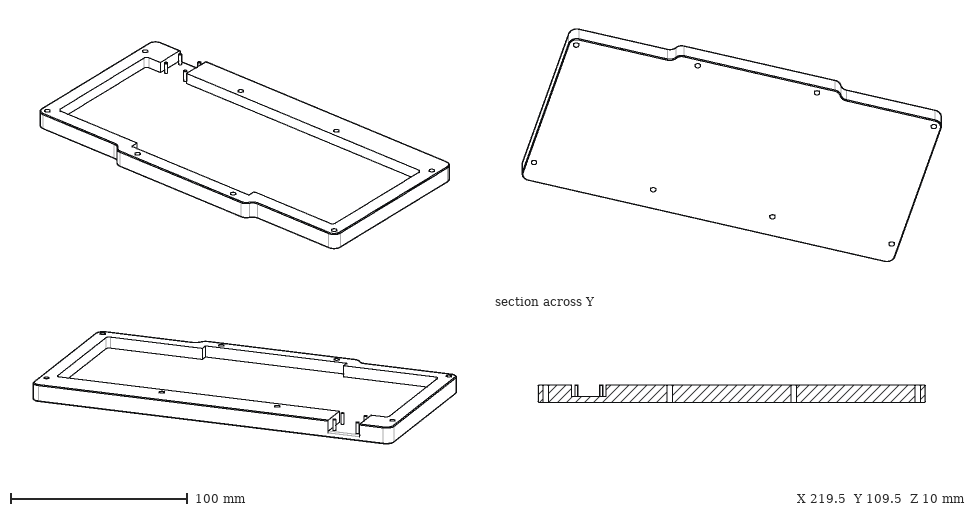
import cadquery as cq
import math

length = 219.5
width = 109.5
height = 10.0
corner_radius = 4.8
edge_chamfer = 0.5

tab_depth = 4.8
tab_half_width = 44.5
blend_angle = math.radians(61)
blend_radius = tab_depth / 2 / (1 - math.cos(blend_angle))
blend_half_run = blend_radius * math.sin(blend_angle)

floor_thickness = 3.5
wall = 8.8
back_wall = 17.8
pocket_corner_radius = 2.0
tab_pocket_half_width = 43.0

slot_center_x = -81.0
slot_width = 19.3
slot_lip_fillet = 0.9
pin_diameter = 1.8
pin_height = 6.4
pin_spacing_x = 14.0
pin_spacing_y = 12.5
pin_back_inset = 3.3

hole_diameter = 3.0
hole_inset = 4.5
back_hole_inset = 13.5
inner_hole_x = 35.1

back_y = width / 2
tab_y = -width / 2
front_y = tab_y + tab_depth
pocket_back_y = back_y - back_wall
pocket_front_y = front_y + wall


def box_between(x_min, x_max, y_min, y_max, z_min, z_max):
    """Box given by its limits along each axis."""
    size = (x_max - x_min, y_max - y_min, z_max - z_min)
    return cq.Workplane("XY").box(*size, centered=False).translate((x_min, y_min, z_min))


def make_body():
    """Rounded plate with the blended front tab and chamfered rims."""
    plate = box_between(-length / 2, length / 2, front_y, back_y, 0, height)
    plate = plate.edges("|Z").fillet(corner_radius)

    middle_x = tab_half_width + blend_half_run
    outer_x = middle_x + blend_half_run
    middle_y = front_y - tab_depth / 2
    half_run = blend_radius * math.sin(blend_angle / 2)
    half_drop = blend_radius * (1 - math.cos(blend_angle / 2))
    convex_x, convex_y = tab_half_width + half_run, tab_y + half_drop
    concave_x, concave_y = outer_x - half_run, front_y - half_drop
    tab_root_y = front_y + wall / 2
    tab = (
        cq.Workplane("XY")
        .moveTo(-tab_half_width, tab_y)
        .lineTo(tab_half_width, tab_y)
        .threePointArc((convex_x, convex_y), (middle_x, middle_y))
        .threePointArc((concave_x, concave_y), (outer_x, front_y))
        .lineTo(outer_x, tab_root_y)
        .lineTo(-outer_x, tab_root_y)
        .lineTo(-outer_x, front_y)
        .threePointArc((-concave_x, concave_y), (-middle_x, middle_y))
        .threePointArc((-convex_x, convex_y), (-tab_half_width, tab_y))
        .close()
        .extrude(height)
    )
    return plate.union(tab).clean().faces("<Z or >Z").edges().chamfer(edge_chamfer)


def make_pocket():
    """Main pocket volume with its shallow extension into the tab."""
    pocket_x = length / 2 - wall
    main = box_between(-pocket_x, pocket_x, pocket_front_y, pocket_back_y, floor_thickness, height)
    main = main.edges("|Z").fillet(pocket_corner_radius)
    extension = box_between(
        -tab_pocket_half_width, tab_pocket_half_width,
        tab_y + wall, pocket_front_y + wall, floor_thickness, height,
    )
    return main.union(extension)


def make_slot():
    """Slot volume from the pocket out through the back wall."""
    left_x = slot_center_x - slot_width / 2
    right_x = slot_center_x + slot_width / 2
    return box_between(left_x, right_x, pocket_back_y - wall, back_y, floor_thickness, height)


def make_pins():
    """Four round pins standing on the slot floor."""
    pins_y = back_y - pin_back_inset - pin_spacing_y / 2
    return (
        cq.Workplane("XY", origin=(slot_center_x, pins_y, 0))
        .rarray(pin_spacing_x, pin_spacing_y, 2, 2)
        .circle(pin_diameter / 2)
        .extrude(floor_thickness + pin_height)
    )


def make_screw_holes():
    """Eight through holes: four along the back, two in front corners, two in the tab."""
    outer_hole_x = length / 2 - hole_inset
    points = []
    for side in (-1, 1):
        points.append((side * outer_hole_x, back_y - back_hole_inset))
        points.append((side * inner_hole_x, back_y - back_hole_inset))
        points.append((side * outer_hole_x, front_y + hole_inset))
        points.append((side * inner_hole_x, tab_y + hole_inset))
    return cq.Workplane("XY").pushPoints(points).circle(hole_diameter / 2).extrude(height)


tray = make_body().cut(make_pocket()).cut(make_slot())
slot_lip = cq.selectors.NearestToPointSelector((slot_center_x, back_y, floor_thickness))
tray = tray.edges(slot_lip).fillet(slot_lip_fillet)
result = tray.union(make_pins()).cut(make_screw_holes())